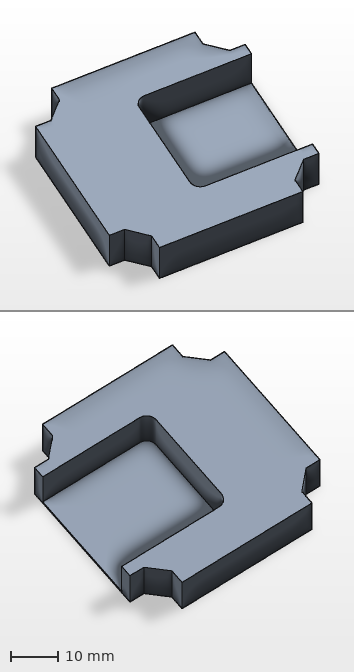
import cadquery as cq

side = 49.8
height = 10.0

corner_cut = 7.85
corner_step = 3.65

pocket_width = 28.2
pocket_length = 27.9
pocket_depth = 9.5
pocket_corner_radius = 2.5

half_side = side / 2


def corner_cutter(x_sign, y_sign):
    """Prism removed from one corner of the plate."""
    offsets = [
        (0, 0),
        (corner_cut, 0),
        (corner_cut, corner_step),
        (corner_step, corner_cut),
        (0, corner_cut),
    ]
    points = [
        (x_sign * (half_side - dx), y_sign * (half_side - dy))
        for dx, dy in offsets
    ]
    return cq.Workplane("XY").polyline(points).close().extrude(height)


def pocket_cutter():
    """Block removed from the top, with its two inner vertical edges rounded."""
    return (
        cq.Workplane("XY", origin=(0, half_side - pocket_length / 2, height - pocket_depth))
        .rect(pocket_width, pocket_length)
        .extrude(pocket_depth)
        .edges("|Z and <Y")
        .fillet(pocket_corner_radius)
    )


result = cq.Workplane("XY").rect(side, side).extrude(height)
for x_sign in (-1, 1):
    for y_sign in (-1, 1):
        result = result.cut(corner_cutter(x_sign, y_sign))
result = result.cut(pocket_cutter())